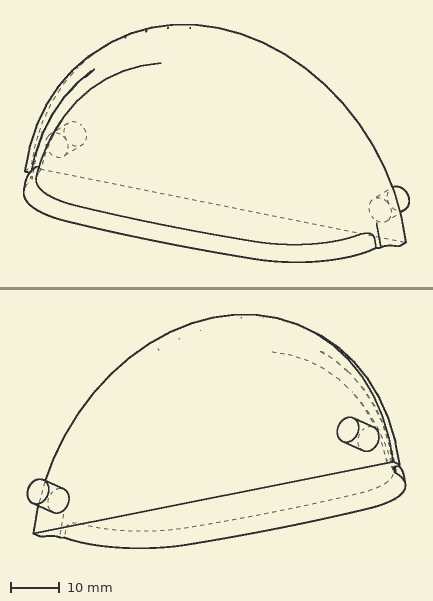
import cadquery as cq
import math


width = 88.73
height = 38.77
depth = 24.92

axis_drop = ((width / 2) ** 2 - height**2) / (2 * height)
flange_radius = height + axis_drop

flange_edge = 2.2
edge_round = 0.8
outer_cove_radius = 2.15
step_radius = flange_radius - edge_round - outer_cove_radius
flange_front = flange_edge + edge_round
step_edge = flange_front + outer_cove_radius
step_front = step_edge + edge_round
dome_start = 7.5

shoulder_radius = 18.0
nose_radius = 250.0
nose_edge_radius = 22.85

rim_width = 2.0
rim_height = 3.0
rim_round = 1.3

pin_diameter = 5.3
pin_length = 7.5
pin_spacing = 76.4
pin_height = 6.0

nose_center = depth - math.sqrt((nose_radius + rim_width) ** 2 - axis_drop**2)
nose_angle = math.asin(nose_edge_radius / nose_radius)
shoulder_forward = nose_center + (nose_radius - shoulder_radius) * math.cos(nose_angle)
shoulder_from_axis = (nose_radius - shoulder_radius) * math.sin(nose_angle)


def shoulder_point(angle, offset):
    """Profile point on the shoulder; the angle is measured from straight forward."""
    radius = shoulder_radius + offset
    from_axis = shoulder_from_axis + radius * math.sin(angle)
    forward = shoulder_forward + radius * math.cos(angle)
    return from_axis, -forward


def nose_point(angle, offset):
    """Profile point on the nose; the angle is measured from straight forward."""
    radius = nose_radius + offset
    return radius * math.sin(angle), -(nose_center + radius * math.cos(angle))


def add_dome(profile, start_angle, offset):
    """Continue a profile along the shoulder and the nose to the turning axis."""
    middle_angle = (start_angle + nose_angle) / 2
    return profile.threePointArc(
        shoulder_point(middle_angle, offset), shoulder_point(nose_angle, offset)
    ).threePointArc(nose_point(nose_angle / 2, offset), nose_point(0, offset))


def turn(profile):
    """Close a profile and turn it about the axis that runs along Y below the underside."""
    turned = profile.close().revolve(360, (0, 0, 0), (0, 1, 0))
    return turned.translate((0, 0, -axis_drop))


def slab(slab_height):
    """Block standing on Z = 0 that is wider and deeper than the part."""
    return cq.Workplane("XY").box(2 * width, 4 * depth, slab_height, centered=(True, True, False))


def make_body():
    start_angle = math.acos((dome_start - shoulder_forward) / shoulder_radius)
    profile = (
        cq.Workplane("XY")
        .lineTo(flange_radius, 0)
        .lineTo(flange_radius, -flange_edge)
        .tangentArcPoint((-edge_round, -edge_round))
        .radiusArc((step_radius, -step_edge), -outer_cove_radius)
        .tangentArcPoint((-edge_round, -edge_round))
        .tangentArcPoint(shoulder_point(start_angle, 0), relative=False)
    )
    return turn(add_dome(profile, start_angle, 0)).intersect(slab(height))


def make_rim():
    start_angle = math.acos((step_edge - shoulder_forward) / (shoulder_radius + rim_width))
    start = shoulder_point(start_angle, rim_width)
    profile = cq.Workplane("XY").moveTo(0, start[1]).lineTo(*start)
    rim = turn(add_dome(profile, start_angle, rim_width)).intersect(slab(rim_height))
    return rim.faces(">Z").edges("not >Y").fillet(rim_round)


def make_pins():
    return (
        cq.Workplane("XZ")
        .pushPoints([(side * pin_spacing / 2, pin_height) for side in (-1, 1)])
        .circle(pin_diameter / 2)
        .extrude(-pin_length)
    )


result = make_body().union(make_rim()).union(make_pins())